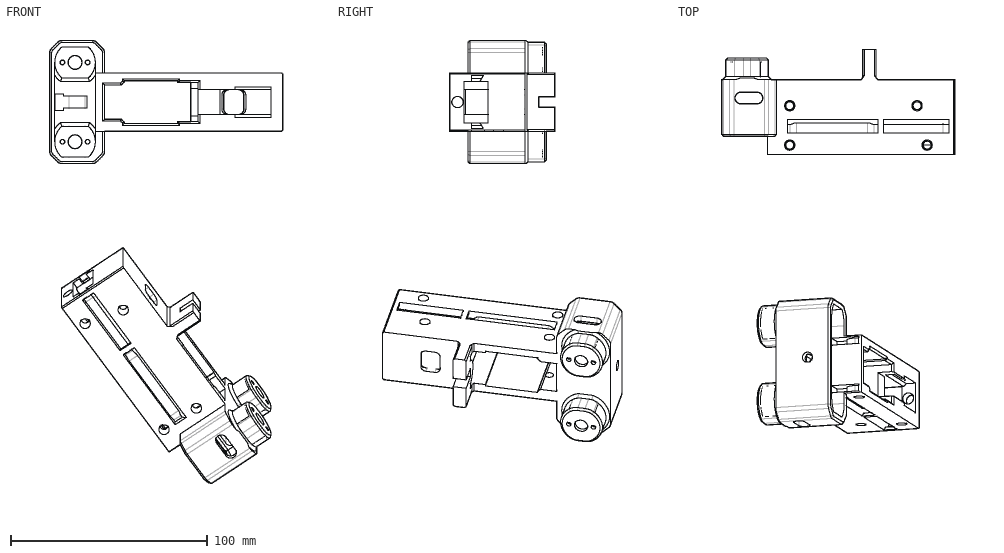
import cadquery as cq
import math

length = 118.8
body_depth = 38.2
body_height = 29.8
body_half_height = body_height / 2
body_end_chamfer = 0.7

head_width = 28.0
head_height = 62.7
head_front = 9.3
head_corner_cut = 5.0
head_corner_radius = 3.0
head_edge_chamfer = 1.1
head_floor = 22.8

motor_x = 13.0
motor_z = 20.2
motor_pocket_radius = 10.3
motor_pocket_flat = 7.8
motor_pocket_chamfer = 1.9
boss_radius = 10.9
boss_flat = 10.3
boss_back = 49.3
boss_floor = 47.3
boss_edge_chamfer = 1.1
boss_flare = 1.5
boss_corner_radius = 7.7
shaft_hole_radius = 3.5
motor_screw_radius = 1.13
motor_screw_offset = 6.4

side_slot_length = 14.0
side_slot_width = 5.8
side_slot_x = 13.9
side_slot_y = 28.9

body_left = motor_x + motor_pocket_radius

screw_radius = 2.0
screw_mouth_radius = 2.6
head_screw_y = 21.4
rear_screw_y = 24.9
front_screw_y = 4.9
blind_screw_depth = 6.8

post_left = 71.8
post_right = 78.6
post_back = 53.5
post_edge_chamfer = 0.8
post_foot_reach = 0.8
post_foot_height = 2.1
post_slot_half = 2.6
post_slot_bottom = 45.5
post_slot_inner_bottom = 43.2

window_left = 28.0
window_right = 75.6
window_chamfer = 1.01
window_back = 43.0
hump_radius = 7.1
hump_y = 44.5

channel_half = 6.3
channel_depth = 8.2
pocket_left = 86.7
pocket_right = 112.7
pocket_back = 35.3
groove_half = 7.7
groove_left = 82.5
groove_mouth_left = 94.4
groove_lip = 1.5
groove_end = 6.4
groove_flat_end = groove_end - (groove_half - channel_half)
opening_left = 88.7
opening_right = 98.8
opening_radius = 2.7
opening_chamfer = 1.1
latch_screw_y = 4.0
latch_screw_radius = 2.8

strap_front = 11.0
strap_back = 17.9
strap_slope_angle = 60
strap_floor = 10.6
strap_bridge_floor = 12.0
strap_roof = 13.4
long_strap_left = 33.6
long_strap_right = 79.6
short_strap_right = 115.7
strap_slope_run = (body_half_height - strap_floor) / math.tan(math.radians(strap_slope_angle))
strap_bar_half = (strap_floor - channel_half) / 2
strap_nose_reach = 3.3
strap_exit_front = 7.4
strap_exit_back = 19.6

slit_top = 14.1
slit_front = 1.5
slit_back = 15.9
slit_depth = 3.0
slit_round_start = 4.5
slit_round_radius = 5.9


def box(x0, x1, y0, y1, z0, z1):
    """Box between two opposite corners."""
    return cq.Workplane("XY").box(x1 - x0, y1 - y0, z1 - z0, centered=False).translate((x0, y0, z0))


def xz_plane(y, x=0.0, z=0.0):
    """Sketch plane at depth y: local axes are X and Z, extrusion runs toward +Y."""
    return cq.Workplane(cq.Plane(origin=(x, y, z), xDir=(1, 0, 0), normal=(0, -1, 0)))


def along_y(sketch, depth):
    """Extrude an xz_plane sketch toward +Y."""
    return sketch.extrude(-depth)


def mirrored(shape):
    """The shape together with its mirror image below Z = 0."""
    return shape.union(shape.mirror("XY"))


def flatted_disc(radius, flat, y0, y1, back_chamfer=0):
    """Disc along Y centred on the upper motor and cut flat above and below."""
    disc = along_y(xz_plane(y0, motor_x, motor_z).circle(radius), y1 - y0)
    slab = box(motor_x - radius, motor_x + radius, y0, y1, motor_z - flat, motor_z + flat)
    if back_chamfer:
        disc = disc.faces(">Y").chamfer(back_chamfer)
        slab = slab.faces(">Y").edges("|X").chamfer(back_chamfer)
    return disc.intersect(slab)


def head_block():
    half = head_height / 2
    block = box(0, head_width, head_front, body_depth, -half, half)
    block = block.edges("|Y").chamfer(head_corner_cut)
    block = block.edges("|Y").fillet(head_corner_radius)
    return block.faces("<Y").chamfer(head_edge_chamfer)


def motor_boss():
    """Upper motor cup, flared where it meets the head."""
    cup = flatted_disc(boss_radius, boss_flat, body_depth, boss_back)
    cup = cup.edges("|Y").fillet(boss_corner_radius)
    cup = cup.faces(">Y").chamfer(boss_edge_chamfer)
    flare = flatted_disc(
        boss_radius + boss_flare,
        boss_flat + boss_flare,
        body_depth - boss_flare,
        body_depth + boss_flare,
        boss_flare,
    )
    head_bounds = box(0, head_width, head_front, boss_back, 0, head_height / 2)
    return cup.union(flare.intersect(head_bounds))


def head_cavity():
    """Motor bay: a flat floor with a chamfered cup and holes for each motor."""
    bay_left = motor_x - motor_pocket_radius
    bay = box(bay_left, body_left, head_front, head_floor, 0, motor_z)
    cup = flatted_disc(motor_pocket_radius, motor_pocket_flat, head_front, boss_floor)
    rim = flatted_disc(
        motor_pocket_radius + motor_pocket_chamfer,
        motor_pocket_flat + motor_pocket_chamfer,
        head_floor - motor_pocket_chamfer,
        head_floor + motor_pocket_chamfer,
        motor_pocket_chamfer,
    ).intersect(box(bay_left, body_left, head_front, boss_floor, 0, motor_z))
    through = boss_back - head_floor
    shaft = along_y(xz_plane(head_floor, motor_x, motor_z).circle(shaft_hole_radius), through)
    screws = along_y(
        xz_plane(head_floor, motor_x, motor_z)
        .pushPoints([(-motor_screw_offset, 0), (motor_screw_offset, 0)])
        .circle(motor_screw_radius),
        through,
    )
    return mirrored(bay.union(cup).union(rim).union(shaft).union(screws))


def head_side_slot():
    return (
        cq.Workplane("XY", origin=(side_slot_x, side_slot_y, -head_height / 2))
        .slot2D(side_slot_length, side_slot_width)
        .extrude(head_height)
    )


def screw_recess():
    """Bed for a cap screw lying in the floor of the motor bay."""
    head_left = 2.8
    head_right = 7.0
    shank_right = 19.1
    head_half = 4.2
    shank_half = 3.1
    recess_depth = 2.8
    bottom = head_floor + recess_depth
    screw_head = box(head_left, head_right, head_floor, bottom, -head_half, head_half)
    return screw_head.union(box(head_right, shank_right, head_floor, bottom, -shank_half, shank_half))


def body_block():
    block = box(body_left, length, 0, body_depth, -body_half_height, body_half_height)
    return block.faces(">X").edges("|Y").chamfer(body_end_chamfer)


def post():
    block = box(post_left, post_right, body_depth, post_back, -body_half_height, body_half_height)
    block = block.edges("|Y").chamfer(post_edge_chamfer)
    inner_left = post_left + post_edge_chamfer
    inner_right = post_right - post_edge_chamfer
    foot = (
        cq.Workplane("XY", origin=(0, 0, -body_half_height))
        .polyline(
            [
                (post_left - post_foot_reach, body_depth),
                (post_right + post_foot_reach, body_depth),
                (inner_right, body_depth + post_foot_height),
                (inner_left, body_depth + post_foot_height),
            ]
        )
        .close()
        .extrude(2 * body_half_height)
    )
    return block.union(foot)


def post_slot():
    outer = box(post_left, post_right, post_slot_bottom, post_back, -post_slot_half, post_slot_half)
    inner = box(post_left, window_right, post_slot_inner_bottom, post_back, -post_slot_half, post_slot_half)
    return outer.union(inner)


def window_outline(y, grow):
    """Window outline, symmetric about Z = 0, enlarged on all sides by grow."""
    left_half = 8.7
    middle_half = 10.8
    right_half = 10.0
    slope_left = 36.5
    middle_left = 38.0
    middle_right = 65.2
    slope_rise = middle_left - slope_left
    slope_shift = grow * math.tan(math.pi / 8)
    upper = [
        (window_left - grow, left_half + grow),
        (slope_left - slope_shift, left_half + grow),
        (middle_left - grow, left_half + slope_rise + slope_shift),
        (middle_left - grow, middle_half + grow),
        (middle_right + grow, middle_half + grow),
        (middle_right + grow, right_half + grow),
        (window_right + grow, right_half + grow),
    ]
    lower = [(x, -z) for x, z in reversed(upper)]
    return xz_plane(y).polyline(upper + lower).close()


def window():
    """Passage through the body, chamfered at the front, around the round end of the post."""
    passage = along_y(window_outline(0, 0), window_back)
    hump = (
        cq.Workplane("YZ", origin=(post_left, hump_y, 0))
        .circle(hump_radius)
        .extrude(window_right - post_left)
    )
    mouth = window_outline(0, window_chamfer).wires().val()
    throat = window_outline(window_chamfer, 0).wires().val()
    chamfer = cq.Workplane(cq.Solid.makeLoft([mouth, throat], True))
    return passage.cut(hump).union(chamfer)


def latch_pocket():
    """Stepped pocket with an undercut groove in its upper and lower walls."""
    channel = box(window_right, pocket_right, 0, channel_depth, -channel_half, channel_half)
    deep = box(pocket_left, pocket_right, 0, pocket_back, -channel_half, channel_half)
    groove = (
        cq.Workplane("YZ", origin=(groove_left, 0, 0))
        .polyline(
            [
                (groove_lip, 0),
                (groove_lip, groove_half),
                (groove_flat_end, groove_half),
                (groove_end, channel_half),
                (groove_end, 0),
            ]
        )
        .close()
        .extrude(pocket_right - groove_left)
    )
    mouth = box(groove_mouth_left, pocket_right, 0, groove_flat_end, 0, groove_half)
    return channel.union(deep).union(mirrored(groove.union(mouth)))


def back_opening():
    """Rounded opening through the back wall of the latch pocket."""
    middle = (opening_left + opening_right) / 2
    width = opening_right - opening_left
    cutter = along_y(xz_plane(pocket_back, middle).rect(width, 2 * channel_half), body_depth - pocket_back)
    cutter = cutter.edges("|Y").fillet(opening_radius)
    flare = along_y(
        xz_plane(pocket_back - opening_chamfer, middle).rect(width + 2 * opening_chamfer, 2 * channel_half),
        2 * opening_chamfer,
    )
    flare = flare.edges("|Y").fillet(opening_radius)
    flare = flare.faces(">Y").edges("|Z").chamfer(opening_chamfer)
    return cutter.union(flare)


def strap_groove(x0, x1):
    """Groove in the top face whose back side slopes up to the face."""
    return (
        cq.Workplane("YZ", origin=(x0, 0, 0))
        .polyline(
            [
                (strap_front, body_half_height),
                (strap_front, strap_floor),
                (strap_back - strap_slope_run, strap_floor),
                (strap_back, body_half_height),
            ]
        )
        .close()
        .extrude(x1 - x0)
    )


def strap_bridge():
    """Raised middle of the long groove's floor, over the tall part of the window."""
    left_foot = 34.8
    left_crest = 38.0
    right_crest = 74.3
    right_foot = 77.7
    level = [(1, 0), (1, 0)]
    profile = (
        xz_plane(strap_front)
        .moveTo(left_foot, strap_floor)
        .spline([(left_crest, strap_bridge_floor)], tangents=level, includeCurrent=True)
        .lineTo(right_crest, strap_bridge_floor)
        .spline([(right_foot, strap_floor)], tangents=level, includeCurrent=True)
        .close()
    )
    return along_y(profile, strap_back - strap_front)


def strap_exit():
    """Opening in the +X end where the strap turns around a round-nosed bar into the latch pocket."""
    turn = box(pocket_right, length, strap_exit_front, strap_exit_back, 0, strap_floor)
    bar_z = channel_half + strap_bar_half
    nose = along_y(
        xz_plane(strap_exit_front, pocket_right, bar_z).ellipse(strap_nose_reach, strap_bar_half),
        strap_exit_back - strap_exit_front,
    )
    return turn.cut(nose).union(covered_strap(pocket_right, length).cut(nose))


def covered_strap(x0, x1):
    """The groove section continued under a roof."""
    return strap_groove(x0, x1).intersect(box(x0, x1, strap_front, strap_back, strap_floor, strap_roof))


def end_slit():
    """Slit in the -X end whose far wall bulges around the front screw hole."""
    near = body_left + slit_depth
    far = near + slit_round_radius
    round_end = slit_round_start + slit_round_radius
    half_chord = slit_round_radius * math.sqrt(0.5)
    return (
        cq.Workplane("XY", origin=(0, 0, strap_floor))
        .moveTo(body_left, slit_front)
        .lineTo(near, slit_front)
        .lineTo(near, slit_round_start)
        .threePointArc((far - half_chord, slit_round_start + half_chord), (far, round_end))
        .lineTo(far, slit_back)
        .lineTo(body_left, slit_back)
        .close()
        .extrude(slit_top - strap_floor)
    )


def tapered_hole(mouth, depth):
    """Screw hole that narrows from the mouth sketch plane inward."""
    tip = mouth.circle(screw_mouth_radius).workplane(offset=depth)
    return tip.circle(screw_radius).loft()


def cross_screw(x, y, depth):
    """Screw hole going down from the top face."""
    top = cq.Plane(origin=(x, y, body_half_height), xDir=(1, 0, 0), normal=(0, 0, -1))
    return tapered_hole(cq.Workplane(top), depth)


def end_screws():
    """Screw holes along X: one into the motor bay and one through the +X end wall."""
    head_hole = tapered_hole(cq.Workplane("YZ", origin=(0, head_screw_y, 0)), motor_x - motor_pocket_radius)
    latch_hole = (
        cq.Workplane("YZ", origin=(pocket_right, latch_screw_y, 0))
        .circle(latch_screw_radius)
        .extrude(length - pocket_right)
    )
    return head_hole.union(latch_hole)


def body_screws():
    """Four screw holes from above and four from below."""
    through_depth = 6.3
    left_x = 34.7
    rear_right_x = 99.5
    front_right_x = 104.6
    return mirrored(
        cross_screw(left_x, rear_screw_y, through_depth)
        .union(cross_screw(left_x, front_screw_y, through_depth))
        .union(cross_screw(rear_right_x, rear_screw_y, blind_screw_depth))
        .union(cross_screw(front_right_x, front_screw_y, blind_screw_depth))
    )


def strap_path():
    """Grooves, the passage between them, the end opening and the end slit, above and below."""
    long_groove = strap_groove(long_strap_left, long_strap_right).cut(strap_bridge())
    short_groove = strap_groove(groove_left, short_strap_right)
    passage = covered_strap(long_strap_right, groove_left)
    return [mirrored(part) for part in (long_groove, short_groove, passage, strap_exit(), end_slit())]


result = head_block().union(mirrored(motor_boss())).union(body_block()).union(post())

cutters = [
    head_cavity(),
    head_side_slot(),
    screw_recess(),
    window(),
    post_slot(),
    latch_pocket(),
    back_opening(),
    body_screws(),
    end_screws(),
]
for cutter in cutters + strap_path():
    result = result.cut(cutter)